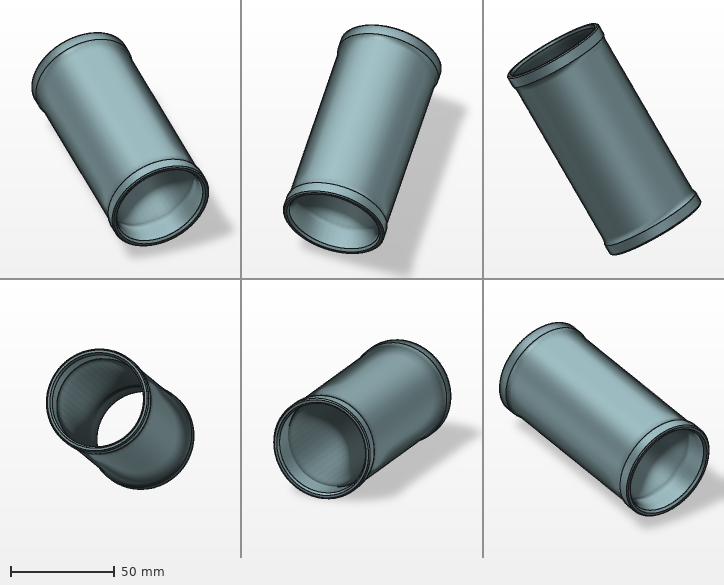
import cadquery as cq
import math

length = 101.0
collar_radius = 25.4
tube_radius = 24.6
collar_length = 5.7
flare_length = 2.9
rim_chamfer = 0.6

mouth_radius = 22.6
middle_bore_radius = 23.5
lead_in_depth = 0.9
lead_in_length = 1.3
mouth_length = 11.6
inner_taper_length = 3.0

half_length = length / 2
collar_x = half_length - collar_length
flare_x = collar_x - flare_length
mouth_x = half_length - mouth_length
middle_bore_x = mouth_x - inner_taper_length

collar_step = collar_radius - tube_radius
flare_radius = (flare_length**2 + collar_step**2) / (2 * collar_step)
half_flare_angle = math.asin(flare_length / flare_radius) / 2
flare_mid_x = flare_x + flare_radius * math.sin(half_flare_angle)
flare_mid_radius = tube_radius + flare_radius * (1 - math.cos(half_flare_angle))

wall_section = (
    cq.Workplane("XY")
    .moveTo(-half_length, collar_radius - rim_chamfer)
    .lineTo(-half_length + rim_chamfer, collar_radius)
    .lineTo(-collar_x, collar_radius)
    .threePointArc((-flare_mid_x, flare_mid_radius), (-flare_x, tube_radius))
    .lineTo(flare_x, tube_radius)
    .threePointArc((flare_mid_x, flare_mid_radius), (collar_x, collar_radius))
    .lineTo(half_length - rim_chamfer, collar_radius)
    .lineTo(half_length, collar_radius - rim_chamfer)
    .lineTo(half_length, mouth_radius + lead_in_depth)
    .lineTo(half_length - lead_in_length, mouth_radius)
    .lineTo(mouth_x, mouth_radius)
    .lineTo(middle_bore_x, middle_bore_radius)
    .lineTo(-middle_bore_x, middle_bore_radius)
    .lineTo(-mouth_x, mouth_radius)
    .lineTo(-half_length + lead_in_length, mouth_radius)
    .lineTo(-half_length, mouth_radius + lead_in_depth)
    .close()
)

result = wall_section.revolve(360, (0, 0, 0), (1, 0, 0))